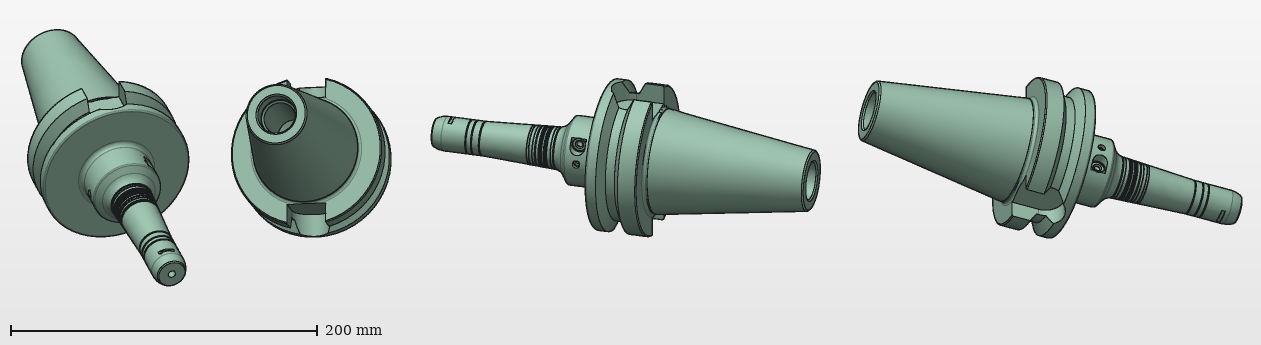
import cadquery as cq
import math


total_length = 256.8
flange_radius = 100.0 / 2
hub_radius = 46.0 / 2
nozzle_radius = 22.9 / 2

taper_slope = 7 / 48
gauge_x = 101.7
gauge_radius = 35.0
taper_end_radius = 19.3
taper_edge_length = 1.0

neck_radius = 34.7
neck_fillet = 2.0

flange_start_x = 104.8
flange_end_x = 139.7
flange_chamfer = 0.8
flange_rounding = 1.0
groove_floor_radius = 42.5
groove_floor_start_x = 121.7
groove_floor_end_x = 128.0
groove_wall_run = (flange_radius - groove_floor_radius) / math.tan(math.radians(60))

hub_fillet = 3.0
hub_end_x = 161.8
hub_edge_radius = 1.3

shoulder_angle = math.radians(55)
shoulder_arc_start_x = 166.0
shoulder_arc_radius = 8.5
cone_angle = math.radians(3)
cone_end_x = 223.5
nose_start_x = 249.4
nose_arc_drop = 1.67
nose_chamfer = 0.8

ring_depth = 0.3
wide_ring = 0.8
fine_ring = 0.3
wide_ring_starts = [171.8, 176.7, 178.2, 180.3, 181.8, 184.5, 223.2, 228.5, 232.5]
fine_ring_starts = [174.0, 186.7, 189.0, 190.5]

bore_mouth_diameter = 27.0
bore_diameter = 25.0
bore_depth = 11.3
thread_mouth_diameter = 24.0
thread_diameter = 21.0
thread_depth = 61.6
coolant_diameter = 5.0
drill_half_angle = math.radians(59)

drive_slot_width = 25.7
drive_slot_center_x = 123.3
drive_slot_floor_z = 35.5

flat_x = 245.2
flat_width = 2.3
flat_depth = 1.3

side_hole_x = 153.8
pocket_z = -12.0
pocket_diameter = 10.0
pocket_depth = 7.2
pocket_floor_y = hub_radius - pocket_depth
screw_recess_diameter = 9.0
screw_recess_depth = 0.8
socket_diameter = 4.0
socket_depth = 1.3
socket_chamfer = 0.8
port_z = -1.0
port_diameter = 5.0
port_depth = 2.5
port_inner_diameter = 3.0
port_inner_depth = 2.5


def cone_radius(x):
    """Radius of the slim shank cone at a given x."""
    return nozzle_radius + (cone_end_x - x) * math.tan(cone_angle)


def drill_tip(diameter):
    """Length of the conical bottom left by a drill."""
    return diameter / 2 / math.tan(drill_half_angle)


def turned_body():
    taper_edge_radius = gauge_radius - (gauge_x - taper_edge_length) * taper_slope
    sin_45 = math.sqrt(0.5)

    edge_end_x = hub_end_x + hub_edge_radius * math.sin(shoulder_angle)
    edge_end_radius = hub_radius - hub_edge_radius * (1 - math.cos(shoulder_angle))
    edge_mid = (
        hub_end_x + hub_edge_radius * math.sin(shoulder_angle / 2),
        hub_radius - hub_edge_radius * (1 - math.cos(shoulder_angle / 2)),
    )

    slope_run = shoulder_arc_start_x - edge_end_x
    arc_start_radius = edge_end_radius - slope_run * math.tan(shoulder_angle)
    arc_center_x = shoulder_arc_start_x + shoulder_arc_radius * math.sin(shoulder_angle)
    arc_end_x = arc_center_x - shoulder_arc_radius * math.sin(cone_angle)

    nose_arc_end_x = total_length - nose_chamfer
    nose_end_radius = nozzle_radius - nose_arc_drop

    profile = (
        cq.Workplane("XY")
        .moveTo(0, 0)
        .lineTo(0, taper_end_radius)
        .lineTo(taper_edge_length, taper_edge_radius)
        .lineTo(gauge_x, gauge_radius)
        .lineTo(gauge_x, neck_radius)
        .lineTo(flange_start_x - neck_fillet, neck_radius)
        .threePointArc(
            (flange_start_x - neck_fillet * (1 - sin_45), neck_radius + neck_fillet * (1 - sin_45)),
            (flange_start_x, neck_radius + neck_fillet),
        )
        .lineTo(flange_start_x, flange_radius - flange_chamfer)
        .lineTo(flange_start_x + flange_chamfer, flange_radius)
        .lineTo(groove_floor_start_x - groove_wall_run, flange_radius)
        .lineTo(groove_floor_start_x, groove_floor_radius)
        .lineTo(groove_floor_end_x, groove_floor_radius)
        .lineTo(groove_floor_end_x + groove_wall_run, flange_radius)
        .lineTo(flange_end_x - flange_rounding, flange_radius)
        .tangentArcPoint((flange_end_x, flange_radius - flange_rounding), relative=False)
        .lineTo(flange_end_x, hub_radius + hub_fillet)
        .threePointArc(
            (flange_end_x + hub_fillet * (1 - sin_45), hub_radius + hub_fillet * (1 - sin_45)),
            (flange_end_x + hub_fillet, hub_radius),
        )
        .lineTo(hub_end_x, hub_radius)
        .threePointArc(edge_mid, (edge_end_x, edge_end_radius))
        .lineTo(shoulder_arc_start_x, arc_start_radius)
        .tangentArcPoint((arc_end_x, cone_radius(arc_end_x)), relative=False)
        .lineTo(cone_end_x, nozzle_radius)
        .lineTo(nose_start_x, nozzle_radius)
        .tangentArcPoint((nose_arc_end_x, nose_end_radius), relative=False)
        .lineTo(total_length, nose_end_radius - nose_chamfer)
        .lineTo(total_length, 0)
        .close()
    )
    return profile.revolve(360, (0, 0, 0), (1, 0, 0))


def bore_cutter():
    mouth_chamfer = (bore_mouth_diameter - bore_diameter) / 2
    thread_chamfer = (thread_mouth_diameter - thread_diameter) / 2
    tip = drill_tip(thread_diameter) - drill_tip(coolant_diameter)
    profile = (
        cq.Workplane("XY")
        .moveTo(0, 0)
        .lineTo(0, bore_mouth_diameter / 2)
        .lineTo(mouth_chamfer, bore_diameter / 2)
        .lineTo(bore_depth, bore_diameter / 2)
        .lineTo(bore_depth, thread_mouth_diameter / 2)
        .lineTo(bore_depth + thread_chamfer, thread_diameter / 2)
        .lineTo(thread_depth, thread_diameter / 2)
        .lineTo(thread_depth + tip, coolant_diameter / 2)
        .lineTo(total_length, coolant_diameter / 2)
        .lineTo(total_length, 0)
        .close()
    )
    return profile.revolve(360, (0, 0, 0), (1, 0, 0))


def ring_cutter(start_x, width):
    inner_radius = max(cone_radius(start_x + width / 2), nozzle_radius) - ring_depth
    return (
        cq.Workplane("YZ", origin=(start_x, 0, 0))
        .circle(hub_radius)
        .circle(inner_radius)
        .extrude(width)
    )


def drive_slot_cutter():
    """Slot open toward the taper, with a round end toward the hub."""
    straight_length = drive_slot_center_x - gauge_x
    height = flange_radius - drive_slot_floor_z
    plane = cq.Workplane("XY", origin=(drive_slot_center_x, 0, drive_slot_floor_z))
    straight = plane.center(-straight_length / 2, 0).rect(straight_length, drive_slot_width).extrude(height)
    return straight.union(plane.circle(drive_slot_width / 2).extrude(height))


def flat_cutter():
    return cq.Workplane("XY", origin=(flat_x, 0, nozzle_radius - flat_depth)).box(
        flat_width, 2 * nozzle_radius, 2 * flat_depth, centered=(True, True, False)
    )


def side_drill(z, outer_y, diameter, depth, pointed=False):
    """Hole drilled from y = -outer_y toward +Y, optionally with a drill point."""
    start = cq.Vector(side_hole_x, -outer_y, z)
    inward = cq.Vector(0, 1, 0)
    hole = cq.Workplane(obj=cq.Solid.makeCylinder(diameter / 2, depth, start, inward))
    if pointed:
        tip = cq.Solid.makeCone(diameter / 2, 0, drill_tip(diameter), start + inward * depth, inward)
        hole = hole.union(cq.Workplane(obj=tip))
    return hole


def side_hole_cutter():
    pocket = side_drill(pocket_z, hub_radius, pocket_diameter, pocket_depth)
    run_out = cq.Workplane("XY", origin=(side_hole_x, -hub_radius, -hub_radius)).box(
        pocket_diameter, pocket_depth, hub_radius + pocket_z, centered=(True, False, False)
    )
    screw_recess = side_drill(pocket_z, pocket_floor_y, screw_recess_diameter, screw_recess_depth)

    socket_y = pocket_floor_y - screw_recess_depth
    socket = side_drill(pocket_z, socket_y, socket_diameter, socket_depth, pointed=True)
    socket_mouth = cq.Solid.makeCone(
        socket_diameter / 2 + socket_chamfer,
        socket_diameter / 2,
        socket_chamfer,
        cq.Vector(side_hole_x, -socket_y, pocket_z),
        cq.Vector(0, 1, 0),
    )

    port = side_drill(port_z, hub_radius, port_diameter, port_depth)
    port_inner = side_drill(
        port_z, hub_radius - port_depth, port_inner_diameter, port_inner_depth, pointed=True
    )
    cutter = pocket.union(run_out)
    for hole in (screw_recess, socket, cq.Workplane(obj=socket_mouth), port, port_inner):
        cutter = cutter.union(hole)
    return cutter


result = turned_body().cut(bore_cutter())

for ring_start in wide_ring_starts:
    result = result.cut(ring_cutter(ring_start, wide_ring))
for ring_start in fine_ring_starts:
    result = result.cut(ring_cutter(ring_start, fine_ring))

for cutter in (drive_slot_cutter(), flat_cutter(), side_hole_cutter()):
    result = result.cut(cutter)
    result = result.cut(cutter.rotate((0, 0, 0), (1, 0, 0), 180))